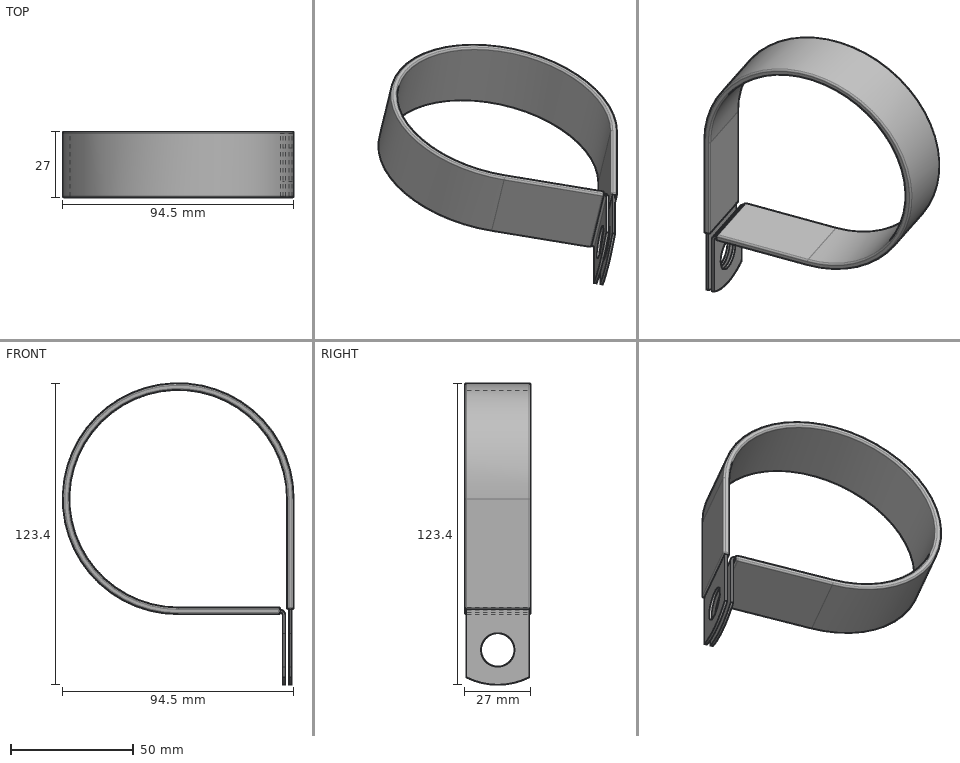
import cadquery as cq
import math

total_height = 123.4
loop_diameter = 94.5
cushion_width = 27.0
cushion_thickness = 2.8
cushion_rounding = 0.7
strap_width = 25.8
strap_thickness = 1.1
tab_gap = 1.5
bend_inner_radius = 1.2
flat_cushion_end = 41.7
upright_cushion_end = 31.0
hole_diameter = 13.6
hole_height = 14.3
tip_arc_height = 3.1

outer_radius = loop_diameter / 2
inner_radius = outer_radius - cushion_thickness
loop_height = total_height - outer_radius
strap_outer_radius = outer_radius - (cushion_thickness - strap_thickness) / 2
strap_inner_radius = strap_outer_radius - strap_thickness
inner_tab_right = strap_inner_radius - tab_gap
inner_tab_left = inner_tab_right - strap_thickness
bend_outer_radius = bend_inner_radius + strap_thickness
diagonal = math.sqrt(0.5)


def arc_middle(radius):
    """Middle of the 270 degree loop, on its upper left."""
    return (-radius * diagonal, loop_height + radius * diagonal)


def extrude_centred(profile, width):
    return profile.close().extrude(width / 2, both=True)


def make_cushion():
    """Loop with one horizontal and one vertical straight run, rounded on every outside edge."""
    profile = (
        cq.Workplane("XZ")
        .moveTo(outer_radius, upright_cushion_end)
        .lineTo(outer_radius, loop_height)
        .threePointArc(arc_middle(outer_radius), (0, loop_height - outer_radius))
        .lineTo(flat_cushion_end, loop_height - outer_radius)
        .lineTo(flat_cushion_end, loop_height - inner_radius)
        .lineTo(0, loop_height - inner_radius)
        .threePointArc(arc_middle(inner_radius), (inner_radius, loop_height))
        .lineTo(inner_radius, upright_cushion_end)
    )
    end_corners = cq.selectors.BoxSelector(
        (flat_cushion_end - cushion_thickness, -cushion_width, 0),
        (loop_diameter, cushion_width, loop_height - inner_radius + cushion_thickness),
    )
    cushion = extrude_centred(profile, cushion_width)
    cross_edges = cushion.edges("|Y").edges(end_corners)
    rims = cushion.faces("<Y or >Y").edges()
    return cushion.newObject(cross_edges.vals() + rims.vals()).fillet(cushion_rounding)


def make_strap():
    """Metal band through the cushion; its horizontal run bends down beside the vertical one."""
    strap_bottom = loop_height - strap_outer_radius
    strap_top = loop_height - strap_inner_radius
    bend_x = inner_tab_right - bend_outer_radius
    bend_z = strap_top - bend_outer_radius
    outer_bend_middle = (bend_x + bend_outer_radius * diagonal, bend_z + bend_outer_radius * diagonal)
    inner_bend_middle = (bend_x + bend_inner_radius * diagonal, bend_z + bend_inner_radius * diagonal)
    profile = (
        cq.Workplane("XZ")
        .moveTo(strap_outer_radius, 0)
        .lineTo(strap_outer_radius, loop_height)
        .threePointArc(arc_middle(strap_outer_radius), (0, strap_bottom))
        .lineTo(bend_x, strap_bottom)
        .threePointArc(inner_bend_middle, (inner_tab_left, bend_z))
        .lineTo(inner_tab_left, 0)
        .lineTo(inner_tab_right, 0)
        .lineTo(inner_tab_right, bend_z)
        .threePointArc(outer_bend_middle, (bend_x, strap_top))
        .lineTo(0, strap_top)
        .threePointArc(arc_middle(strap_inner_radius), (strap_inner_radius, loop_height))
        .lineTo(strap_inner_radius, 0)
    )
    return extrude_centred(profile, strap_width)


def make_tip_envelope():
    """Block whose curved underside rounds the tab tips."""
    half_width = strap_width / 2
    return (
        cq.Workplane("YZ")
        .moveTo(-half_width, tip_arc_height)
        .threePointArc((0, 0), (half_width, tip_arc_height))
        .lineTo(half_width, total_height)
        .lineTo(-half_width, total_height)
        .close()
        .extrude(outer_radius, both=True)
    )


def make_bolt_hole():
    """Bore along X through both tabs."""
    return (
        cq.Workplane("YZ")
        .center(0, hole_height)
        .circle(hole_diameter / 2)
        .extrude(outer_radius)
    )


strap = make_strap().intersect(make_tip_envelope()).cut(make_bolt_hole())
result = make_cushion().union(strap)